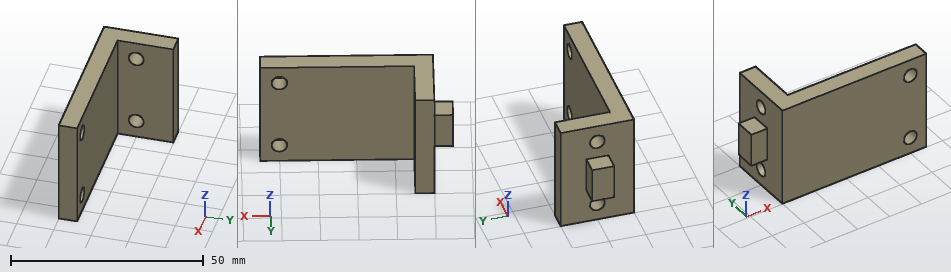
import cadquery as cq

overall_length = 50.0
flange_depth = 20.0
height = 30.0
wall = 5.0

tab_length = 5.0
tab_width = 6.0
tab_height = 10.0

hole_diameter = 4.0
hole_spacing = 20.0
plate_hole_end_distance = 5.0

plate_length = overall_length - tab_length
flange_center_y = flange_depth / 2
mid_height = height / 2
hole_heights = [mid_height - hole_spacing / 2, mid_height + hole_spacing / 2]


def block(x_size, y_size, z_size):
    """Box with its lowest corner at the origin."""
    return cq.Workplane("XY").box(x_size, y_size, z_size, centered=False)


def hole_cutter(center, direction):
    """Cylinder that passes through one wall, starting on its outer face."""
    return cq.Workplane(cq.Solid.makeCylinder(hole_diameter / 2, wall, center, direction))


plate = block(plate_length, wall, height)
flange = block(wall, flange_depth, height)
tab = block(tab_length, tab_width, tab_height).translate(
    (-tab_length, flange_center_y - tab_width / 2, mid_height - tab_height / 2)
)
result = plate.union(flange).union(tab)

plate_hole_x = plate_length - plate_hole_end_distance
for z in hole_heights:
    result = result.cut(hole_cutter(cq.Vector(plate_hole_x, 0, z), cq.Vector(0, 1, 0)))
    result = result.cut(hole_cutter(cq.Vector(0, flange_center_y, z), cq.Vector(1, 0, 0)))